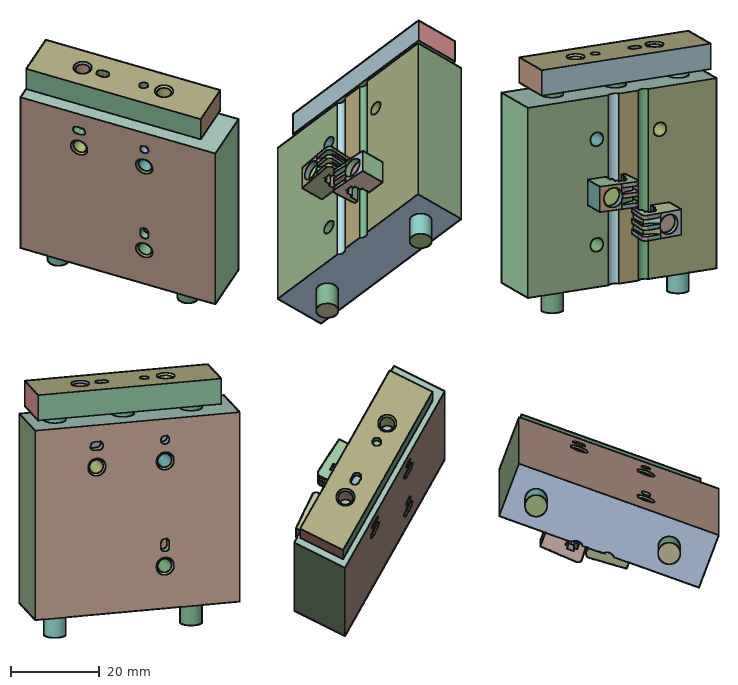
import cadquery as cq


HOUSING_WIDTH = 48.0
HOUSING_DEPTH = 13.0
HOUSING_HEIGHT = 44.95
BACK_Y = HOUSING_DEPTH / 2
FRONT_Y = -HOUSING_DEPTH / 2

AXIS_X = -1.55

ROD_DIAMETER = 5.0
GUIDE_ROD_OFFSET = 16.0
ROD_OVERHANG = 6.0
YOKE_GAP = 2.0
YOKE_WIDTH = 43.0
YOKE_DEPTH = 11.0
YOKE_HEIGHT = 6.0
YOKE_BOTTOM = HOUSING_HEIGHT + YOKE_GAP
YOKE_TOP = YOKE_BOTTOM + YOKE_HEIGHT

SCREW_DIAMETER = 3.25
SCREW_MOUTH_DIAMETER = 4.15
MOUTH_DEPTH = (SCREW_MOUTH_DIAMETER - SCREW_DIAMETER) / 2
LOCATING_DIAMETER = 2.0
LOCATING_LENGTH = 3.0
LOCATING_DEPTH = 2.0

MOUNT_OFFSET_X = 8.0
MOUNT_LOW_Z = 10.05
MOUNT_HIGH_Z = 35.0
LOCATING_RISE = 5.0

YOKE_SCREW_OFFSET = 10.05
YOKE_LOCATING_OFFSET = 5.0

CLIP_HEIGHT = 6.0
LEFT_CLIP_Z = 11.4
RIGHT_CLIP_Z = 19.75
CLIP_OUTER_X = 10.4
CLIP_OUTER_RISE = 5.95
CLIP_HEAD_X = 0.4
CLIP_HEAD_RISE = 6.6
CLIP_FOOT_X = 0.8
CLIP_HEAD_RADIUS = 1.0
FINGER_HEIGHT = 1.0
FINGER_COUNT = 3
FINGER_GAP = (CLIP_HEIGHT - FINGER_COUNT * FINGER_HEIGHT) / (FINGER_COUNT - 1)
FINGER_RECESS_X = 1.3

HOLLOW_DIAMETER = 10.0
HOLLOW_BOTTOM_RISE = 4.7
HOLLOW_CENTRE_RISE = HOLLOW_BOTTOM_RISE + HOLLOW_DIAMETER / 2
POCKET_X = 7.1
POCKET_DIAMETER = 4.6
POCKET_FLOOR_RISE = 4.65

CHANNEL_X = 3.8
CHANNEL_STEPS = [(3.9, 2.05), (2.85, 3.65), (1.6, 4.35)]
GROOVE_DIAMETER = 3.25
GROOVE_DEPTH = 0.65


def box(x_min, x_max, y_min, y_max, z_min, z_max):
    """Box between two limits on each axis."""
    size = (x_max - x_min, y_max - y_min, z_max - z_min)
    return cq.Workplane("XY").box(*size, centered=False).translate((x_min, y_min, z_min))


def upright_cylinder(x, y, diameter, z_min, z_max):
    """Cylinder along Z."""
    return cq.Workplane("XY", origin=(x, y, z_min)).circle(diameter / 2).extrude(z_max - z_min)


def screw_hole(face, depth):
    """Cutter for a screw hole at the face's origin, widened to a 45 degree cone at its mouth."""
    bore = face.circle(SCREW_DIAMETER / 2).extrude(-depth)
    mouth = face.circle(SCREW_MOUTH_DIAMETER / 2).extrude(-MOUTH_DEPTH, taper=45)
    return bore.union(mouth)


def locating_hole(face):
    """Cutter for a round locating hole at the face's origin."""
    return face.circle(LOCATING_DIAMETER / 2).extrude(-LOCATING_DEPTH)


def locating_slot(face, angle):
    """Cutter for a locating slot at the face's origin, turned by an angle on the face."""
    return face.slot2D(LOCATING_LENGTH, LOCATING_DIAMETER, angle).extrude(-LOCATING_DEPTH)


def front_face(x, z):
    """Plane on the housing's front face."""
    return cq.Workplane("XZ", origin=(x, FRONT_Y, z))


def yoke_face(x):
    """Plane on the yoke's top face."""
    return cq.Workplane("XY", origin=(x, 0, YOKE_TOP))


def make_housing():
    """Block with guide bores, mounting holes and two sensor grooves along its back."""
    housing = box(-HOUSING_WIDTH / 2, HOUSING_WIDTH / 2, FRONT_Y, BACK_Y, 0, HOUSING_HEIGHT)

    groove_y = BACK_Y - GROOVE_DEPTH + GROOVE_DIAMETER / 2
    for side in (-1, 1):
        guide_x = AXIS_X + side * GUIDE_ROD_OFFSET
        groove_x = AXIS_X + side * CHANNEL_X
        housing = housing.cut(upright_cylinder(guide_x, 0, ROD_DIAMETER, 0, HOUSING_HEIGHT))
        housing = housing.cut(upright_cylinder(groove_x, groove_y, GROOVE_DIAMETER, 0, HOUSING_HEIGHT))

    left_x = AXIS_X - MOUNT_OFFSET_X
    right_x = AXIS_X + MOUNT_OFFSET_X
    for x, z in [(left_x, MOUNT_HIGH_Z), (right_x, MOUNT_HIGH_Z), (right_x, MOUNT_LOW_Z)]:
        housing = housing.cut(screw_hole(front_face(x, z), HOUSING_DEPTH))

    housing = housing.cut(locating_slot(front_face(left_x, MOUNT_HIGH_Z + LOCATING_RISE), 0))
    housing = housing.cut(locating_hole(front_face(right_x, MOUNT_HIGH_Z + LOCATING_RISE)))
    return housing.cut(locating_slot(front_face(right_x, MOUNT_LOW_Z + LOCATING_RISE), 90))


def make_yoke():
    """Plate across the rods with its piston rod reaching down to the housing."""
    yoke = box(
        AXIS_X - YOKE_WIDTH / 2, AXIS_X + YOKE_WIDTH / 2,
        -YOKE_DEPTH / 2, YOKE_DEPTH / 2,
        YOKE_BOTTOM, YOKE_TOP,
    )
    yoke = yoke.union(upright_cylinder(AXIS_X, 0, ROD_DIAMETER, HOUSING_HEIGHT, YOKE_BOTTOM))

    for side in (-1, 1):
        yoke = yoke.cut(screw_hole(yoke_face(AXIS_X + side * YOKE_SCREW_OFFSET), YOKE_HEIGHT))
    yoke = yoke.cut(locating_slot(yoke_face(AXIS_X - YOKE_LOCATING_OFFSET), 0))
    return yoke.cut(locating_hole(yoke_face(AXIS_X + YOKE_LOCATING_OFFSET)))


def make_guide_rod(side):
    """Rod from below the housing up to the yoke; side is -1 for left and 1 for right."""
    x = AXIS_X + side * GUIDE_ROD_OFFSET
    return upright_cylinder(x, 0, ROD_DIAMETER, -ROD_OVERHANG, YOKE_BOTTOM)


def clip_blank(foot_x, head_x, height):
    """Clip outline with an upright outer side and a sloping top, X and Y from its own origin."""
    outline = [
        (foot_x, 0),
        (CLIP_OUTER_X, 0),
        (CLIP_OUTER_X, CLIP_OUTER_RISE),
        (head_x, CLIP_HEAD_RISE),
    ]
    return cq.Workplane("XY").polyline(outline).close().extrude(height)


def clip_finger():
    """Slice of the clip whose sloping arm ends in a rounded head."""
    finger = clip_blank(CLIP_FOOT_X, CLIP_HEAD_X, FINGER_HEIGHT)
    head_point = (CLIP_HEAD_X, CLIP_HEAD_RISE, FINGER_HEIGHT / 2)
    head_edge = cq.selectors.NearestToPointSelector(head_point)
    return finger.edges(head_edge).fillet(CLIP_HEAD_RADIUS)


def make_clip(side, bottom_z):
    """Clip with a stepped channel, a screw pocket and a three-fingered arm facing the centre line."""
    clip = clip_blank(FINGER_RECESS_X, FINGER_RECESS_X, CLIP_HEIGHT)
    hollow = upright_cylinder(FINGER_RECESS_X, HOLLOW_CENTRE_RISE, HOLLOW_DIAMETER, 0, CLIP_HEIGHT)
    clip = clip.cut(hollow)
    finger = clip_finger()
    for index in range(FINGER_COUNT):
        clip = clip.union(finger.translate((0, 0, index * (FINGER_HEIGHT + FINGER_GAP))))

    for width, rise in CHANNEL_STEPS:
        clip = clip.cut(box(CHANNEL_X - width / 2, CHANNEL_X + width / 2, 0, rise, 0, CLIP_HEIGHT))

    pocket_floor = cq.Workplane("XZ", origin=(POCKET_X, POCKET_FLOOR_RISE, CLIP_HEIGHT / 2))
    pocket_depth = CLIP_HEAD_RISE - POCKET_FLOOR_RISE
    clip = clip.cut(pocket_floor.circle(POCKET_DIAMETER / 2).extrude(-pocket_depth))

    if side < 0:
        clip = clip.mirror("YZ")
    return clip.translate((AXIS_X, BACK_Y, bottom_z))


housing = make_housing()
yoke = make_yoke()
guide_rods = [make_guide_rod(side) for side in (-1, 1)]
clips = [make_clip(side, z) for side, z in [(-1, LEFT_CLIP_Z), (1, RIGHT_CLIP_Z)]]

result = cq.Compound.makeCompound([
    housing.val(),
    yoke.val(),
    *[rod.val() for rod in guide_rods],
    *[clip.val() for clip in clips],
])